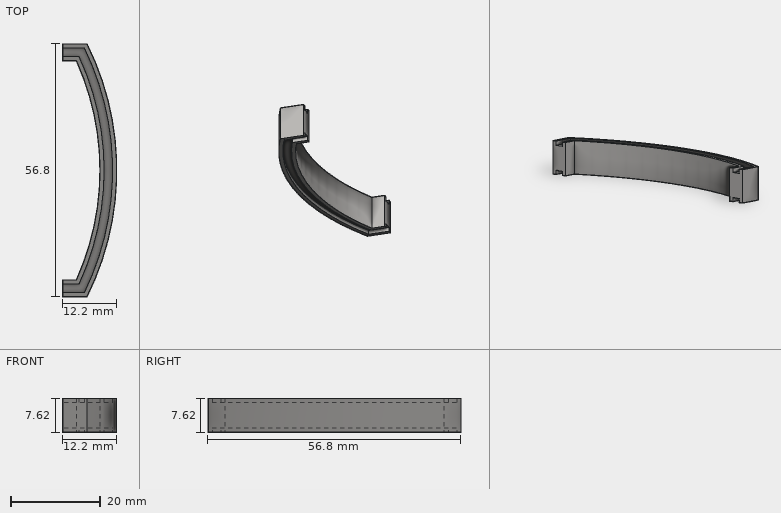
import cadquery as cq
import math

outer_radius = 63.5
wall = 3.81
height = 7.62
span_y = 56.77
depth_x = 12.17

groove_margin = wall / 4
groove_depth = 0.9525

arc_center_x = depth_x - outer_radius


def band_edge(inset):
    """Corner X, corner Y and crown X of the band outline moved inward by inset."""
    radius = outer_radius - inset
    corner_y = span_y / 2 - inset
    corner_x = arc_center_x + math.sqrt(radius**2 - corner_y**2)
    crown_x = arc_center_x + radius
    return corner_x, corner_y, crown_x


def curved_band(outer_inset, inner_inset, bottom_z, thickness):
    """Bowed strip with two straight legs, lying between two insets of the outer outline."""
    outer_x, outer_y, outer_crown = band_edge(outer_inset)
    inner_x, inner_y, inner_crown = band_edge(inner_inset)
    return (
        cq.Workplane("XY", origin=(0, 0, bottom_z))
        .moveTo(0, -outer_y)
        .lineTo(outer_x, -outer_y)
        .threePointArc((outer_crown, 0), (outer_x, outer_y))
        .lineTo(0, outer_y)
        .lineTo(0, inner_y)
        .lineTo(inner_x, inner_y)
        .threePointArc((inner_crown, 0), (inner_x, -inner_y))
        .lineTo(0, -inner_y)
        .close()
        .extrude(thickness)
    )


result = curved_band(0, wall, -height / 2, height)

for groove_bottom in (-height / 2, height / 2 - groove_depth):
    groove = curved_band(groove_margin, wall - groove_margin, groove_bottom, groove_depth)
    result = result.cut(groove)